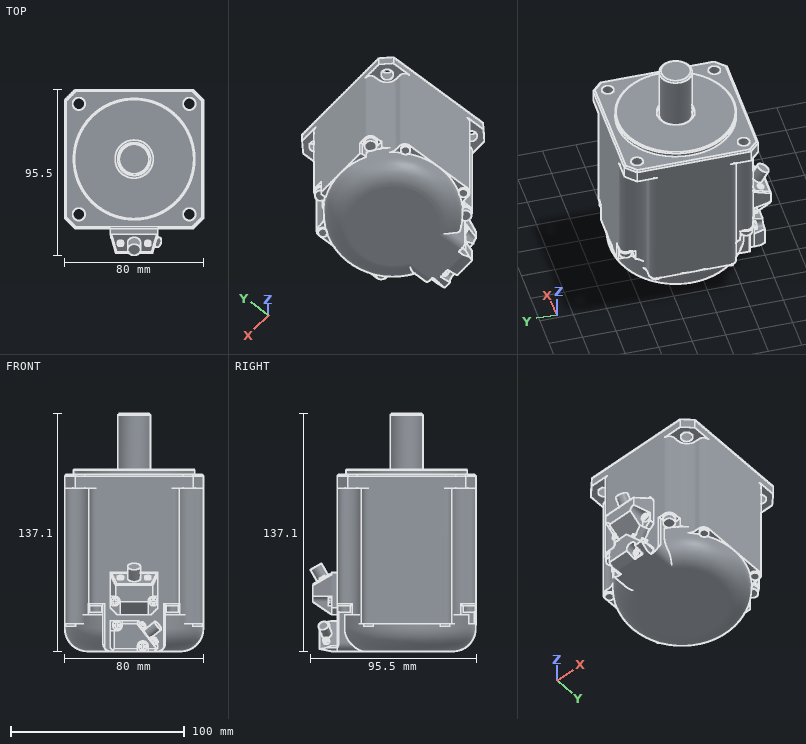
import cadquery as cq
import math

TOTAL_HEIGHT = 137.1
SHAFT_LENGTH = 32.0
PILOT_HEIGHT = 3.0
FLANGE_THICKNESS = 8.0
PILOT_TOP = TOTAL_HEIGHT - SHAFT_LENGTH
FLANGE_TOP = PILOT_TOP - PILOT_HEIGHT
FLANGE_BOTTOM = FLANGE_TOP - FLANGE_THICKNESS
COVER_TOP = 21.2
HOUSING_BOTTOM = 16.0

BODY_WIDTH = 80.0
HALF_WIDTH = BODY_WIDTH / 2
FLANGE_CORNER = 6.0
FLANGE_EDGE = 1.0
BOLT_CIRCLE = 90.0
BOLT_HOLE_DIA = 7.0
PILOT_DIA = 70.0
PILOT_EDGE = 0.7
SHAFT_DIA = 19.0
SHAFT_EDGE = 1.0
SEAL_RECESS_DIA = 22.0
SEAL_RECESS_DEPTH = 2.0

NOTCH_WALL = 26.0
NOTCH_ROUND = 4.0
NOTCH_INNER_RADIUS = 7.5
NOTCH_AXIS = NOTCH_WALL + NOTCH_INNER_RADIUS

COVER_ROUND = 13.3
PAD_HALF_WIDTH = 18.0
PAD_EDGE = 1.0
PAD_BOTTOM_ROUND = 5.0

SCREW_NEAR = 22.0
SCREW_FAR = HALF_WIDTH - NOTCH_ROUND
POCKET_FLOOR = 31.2
POCKET_TOP = 27.5
HEAD_DIA = 7.0
COLLAR_DIA = 7.6
HEAD_BOTTOM = 22.7
HEAD_TOP = 26.3
STUD_FAR = 36.5
STUD_DIA = 5.5
STUD_LENGTH = 1.5

CONNECTOR_HALF_WIDTH = 13.75
BASE_THICKNESS = 3.2
BASE_FRONT = -HALF_WIDTH - BASE_THICKNESS
OVERLAP = 1.0
FIXING_RECESS_RADIUS = 3.1
FIXING_HEAD_DIA = 4.8
FIXING_HEAD_HEIGHT = 2.0
GLAND_SCREW_DIA = 3.6
CROSS_WIDTH_RATIO = 0.2
CROSS_LENGTH_RATIO = 0.7

POWER_TOP = 45.6
POWER_BOTTOM = COVER_TOP
POWER_BASE_BEVEL = 4.0
POWER_FRONT = -54.1
POWER_FRONT_HALF_WIDTH = 10.6
POWER_SLOPE_TOP = 45.1
POWER_SLOPE_ANGLE = 30.0
POWER_LIP_BOTTOM = 28.6
POWER_SLOPE_EDGE = 0.7
POWER_FIXING_X = 11.2
POWER_FIXING_Z = 28.7
POWER_CABLE_DIA = 7.5
POWER_CABLE_LENGTH = 7.9
POWER_CABLE_REACH = 55.5
POWER_GLAND_SCREW_X = 7.9
POWER_GLAND_SCREW_HEIGHT = 0.9

ENCODER_TOP = 17.7
ENCODER_FRONT = -50.2
ENCODER_BEVEL = 2.2
ENCODER_SIDE_DRAFT = 2.3
ENCODER_BOTTOM_DRAFT = 1.5
ENCODER_TOP_DRAFT = 1.7
DIAGONAL_ANGLE = 38.0
DIAGONAL_TILT = 14.0
DIAGONAL_END_Z = 3.4
ENCODER_FIXINGS = ((-10.0, 15.1, -1, 1), (5.0, 3.0, 0, -1))
ENCODER_CABLE_DIA = 6.0
ENCODER_CABLE_LENGTH = 8.1
ENCODER_CABLE_Y = -46.0
ENCODER_GLAND_SCREW_OFFSET = 5.7
ENCODER_GLAND_SCREW_HEIGHT = 2.0


def box(x0, x1, y0, y1, z0, z1):
    return cq.Workplane("XY").box(x1 - x0, y1 - y0, z1 - z0, centered=False).translate((x0, y0, z0))


def cylinder(x, y, z0, z1, diameter):
    return cq.Workplane("XY", origin=(x, y, z0)).circle(diameter / 2).extrude(z1 - z0)


def rod(origin, direction, diameter, length):
    plane = cq.Plane(origin=origin, normal=direction)
    return cq.Workplane(plane).circle(diameter / 2).extrude(length)


def along(origin, direction, distance):
    return tuple(o + distance * d for o, d in zip(origin, direction))


def cross_head(origin, direction, diameter, height):
    """Round screw head standing on `origin`, with a cross-shaped driver recess."""
    sunk = along(origin, direction, -OVERLAP)
    head = rod(sunk, direction, diameter, height + OVERLAP)
    slot_plane = cq.Plane(origin=along(origin, direction, height / 2), normal=direction)
    slot_length = diameter * CROSS_LENGTH_RATIO
    slot_width = diameter * CROSS_WIDTH_RATIO
    for length, width in ((slot_length, slot_width), (slot_width, slot_length)):
        head = head.cut(cq.Workplane(slot_plane).rect(length, width).extrude(height))
    return head


def flange():
    plate = box(-HALF_WIDTH, HALF_WIDTH, -HALF_WIDTH, HALF_WIDTH, FLANGE_BOTTOM, FLANGE_TOP)
    plate = plate.edges("|Z").chamfer(FLANGE_CORNER).faces(">Z").edges().chamfer(FLANGE_EDGE)
    bolt_pitch = BOLT_CIRCLE / math.sqrt(2)
    plate = plate.faces(">Z").workplane().rect(bolt_pitch, bolt_pitch, forConstruction=True).vertices()
    plate = plate.hole(BOLT_HOLE_DIA)
    pilot = cylinder(0, 0, FLANGE_TOP, PILOT_TOP, PILOT_DIA).faces(">Z").chamfer(PILOT_EDGE)
    recess = cylinder(0, 0, PILOT_TOP - SEAL_RECESS_DEPTH, PILOT_TOP, SEAL_RECESS_DIA)
    shaft = cylinder(0, 0, FLANGE_TOP, TOTAL_HEIGHT, SHAFT_DIA).faces(">Z").chamfer(SHAFT_EDGE)
    return plate.union(pilot).cut(recess).union(shaft)


def housing():
    block = box(-HALF_WIDTH, HALF_WIDTH, -HALF_WIDTH, HALF_WIDTH, HOUSING_BOTTOM, FLANGE_BOTTOM)
    notch_size = HALF_WIDTH - NOTCH_WALL
    notch_center = NOTCH_WALL + notch_size / 2
    for sx in (-1, 1):
        for sy in (-1, 1):
            notch = cq.Workplane("XY", origin=(sx * notch_center, sy * notch_center, HOUSING_BOTTOM))
            notch = notch.rect(notch_size, notch_size).extrude(FLANGE_BOTTOM - HOUSING_BOTTOM)
            inner_edge = ("<X" if sx > 0 else ">X") + " and " + ("<Y" if sy > 0 else ">Y")
            notch = notch.edges("|Z").edges(inner_edge).fillet(NOTCH_INNER_RADIUS)
            block = block.cut(notch)
    for s in (-1, 1):
        for t in (-1, 1):
            for x, y in ((s * NOTCH_WALL, t * HALF_WIDTH), (s * HALF_WIDTH, t * NOTCH_WALL)):
                low = (x - 1, y - 1, HOUSING_BOTTOM)
                high = (x + 1, y + 1, FLANGE_BOTTOM)
                block = block.edges("|Z").edges(cq.selectors.BoxSelector(low, high)).fillet(NOTCH_ROUND)
    return block


def edge_pad(side, bottom):
    """Block with bevelled sides standing on the -Y (side = -1) or +Y (side = 1) face."""
    inner = side * HALF_WIDTH / 2
    outer = side * HALF_WIDTH
    pad = box(-PAD_HALF_WIDTH, PAD_HALF_WIDTH, min(inner, outer), max(inner, outer), bottom, POCKET_TOP)
    outer_face = "<Y" if side < 0 else ">Y"
    return pad.faces(outer_face).edges("|Z").chamfer(PAD_EDGE)


def rear_cover():
    return cylinder(0, 0, 0, COVER_TOP, BODY_WIDTH).faces("<Z").edges().fillet(COVER_ROUND)


def screw_pocket(side_x, side_y):
    """Square-cornered pocket around a housing screw, open outwards and into the corner notch."""
    inner = side_y * POCKET_FLOOR
    outer = side_y * (HALF_WIDTH + OVERLAP)
    near = side_x * (PAD_HALF_WIDTH - PAD_EDGE)
    far = side_x * NOTCH_AXIS
    return box(min(near, far), max(near, far), min(inner, outer), max(inner, outer), COVER_TOP, POCKET_TOP)


def body():
    """Housing and rear cover with the pockets, screws and pads at their joint."""
    case = housing()
    crossing_sum = (HALF_WIDTH**2 + 2 * NOTCH_AXIS**2 - NOTCH_INNER_RADIUS**2) / (2 * NOTCH_AXIS)
    crossing_y = (crossing_sum - math.sqrt(2 * HALF_WIDTH**2 - crossing_sum**2)) / 2
    for side in (-1, 1):
        inner = side * crossing_y
        outer = side * (HALF_WIDTH + OVERLAP)
        case = case.cut(box(-HALF_WIDTH, HALF_WIDTH, min(inner, outer), max(inner, outer),
                            HOUSING_BOTTOM, COVER_TOP))
    case = case.union(rear_cover())
    for side_x in (-1, 1):
        for side_y in (-1, 1):
            case = case.cut(screw_pocket(side_x, side_y))
            head = cylinder(side_x * SCREW_NEAR, side_y * SCREW_FAR, HEAD_BOTTOM, HEAD_TOP, HEAD_DIA)
            collar = cylinder(side_x * SCREW_NEAR, side_y * SCREW_FAR, HEAD_TOP, POCKET_TOP + OVERLAP,
                              COLLAR_DIA)
            head = head.union(collar)
            stud = cylinder(side_x * STUD_FAR, side_y * SCREW_NEAR, HOUSING_BOTTOM - STUD_LENGTH, COVER_TOP,
                            STUD_DIA)
            case = case.union(head).union(stud)
    connector_pad = edge_pad(-1, 0).edges("|Y and <Z").fillet(PAD_BOTTOM_ROUND)
    return case.union(connector_pad).union(edge_pad(1, HOUSING_BOTTOM))


def prism_along_y(points, y_back, y_front):
    """Extrude an (x, z) outline from y_back towards -Y up to y_front."""
    return cq.Workplane("XZ", origin=(0, y_back, 0)).polyline(points).close().extrude(y_back - y_front)


def prism_along_x(points, half_width):
    """Extrude a (y, z) outline symmetrically about X = 0."""
    return cq.Workplane("YZ").polyline(points).close().extrude(half_width, both=True)


def fixing_recess(x, z, side_x, side_z, front):
    """Round-ended recess in front of a connector base, open towards side_x and side_z."""
    radius = FIXING_RECESS_RADIUS
    reach = 2 * CONNECTOR_HALF_WIDTH
    center = cq.Workplane("XZ", origin=(0, BASE_FRONT, 0)).center(x, z)
    depth = BASE_FRONT - front + OVERLAP
    recess = center.circle(radius).extrude(depth)
    if side_z:
        recess = recess.union(center.center(0, side_z * reach / 2).rect(2 * radius, reach).extrude(depth))
    if side_x:
        recess = recess.union(center.center(side_x * reach / 2, 0).rect(reach, 2 * radius).extrude(depth))
    if side_x and side_z:
        corner = center.center(side_x * reach / 2, side_z * reach / 2)
        recess = recess.union(corner.rect(reach, reach).extrude(depth))
    return recess


def fixing_screw(x, z):
    return cross_head((x, BASE_FRONT, z), (0, -1, 0), FIXING_HEAD_DIA, FIXING_HEAD_HEIGHT)


def power_connector():
    half = CONNECTOR_HALF_WIDTH
    back = -HALF_WIDTH + OVERLAP
    angle = math.radians(POWER_SLOPE_ANGLE)
    slope_end = POWER_SLOPE_TOP - (BASE_FRONT - POWER_FRONT) * math.tan(angle)

    base = prism_along_y([(-half, POWER_TOP), (half, POWER_TOP), (half, POWER_BOTTOM + POWER_BASE_BEVEL),
                          (half - POWER_BASE_BEVEL, POWER_BOTTOM), (POWER_BASE_BEVEL - half, POWER_BOTTOM),
                          (-half, POWER_BOTTOM + POWER_BASE_BEVEL)], back, BASE_FRONT)

    hood = prism_along_x([(back, POWER_SLOPE_TOP), (BASE_FRONT, POWER_SLOPE_TOP), (POWER_FRONT, slope_end),
                          (POWER_FRONT, POWER_LIP_BOTTOM), (BASE_FRONT, POWER_BOTTOM), (back, POWER_BOTTOM)],
                         half)
    plan = cq.Workplane("XY").polyline([(-half, BASE_FRONT), (half, BASE_FRONT),
                                        (POWER_FRONT_HALF_WIDTH, POWER_FRONT),
                                        (-POWER_FRONT_HALF_WIDTH, POWER_FRONT)]).close().extrude(POWER_TOP)
    hood = hood.intersect(plan)
    slope_normal = (0, -math.sin(angle), math.cos(angle))
    slope_face = cq.selectors.DirectionMinMaxSelector(cq.Vector(*slope_normal))
    hood = hood.faces(slope_face).edges().edges("not >Z").chamfer(POWER_SLOPE_EDGE)
    for side in (-1, 1):
        hood = hood.cut(fixing_recess(side * POWER_FIXING_X, POWER_FIXING_Z, side, -1, POWER_FRONT))

    connector = base.union(hood)
    for side in (-1, 1):
        connector = connector.union(fixing_screw(side * POWER_FIXING_X, POWER_FIXING_Z))

    cable_end_y = POWER_CABLE_DIA / 2 * math.cos(angle) - POWER_CABLE_REACH
    root_y = cable_end_y + POWER_CABLE_LENGTH * math.sin(angle)
    root_z = POWER_SLOPE_TOP - (BASE_FRONT - root_y) * math.tan(angle)
    cable_start = along((0, root_y, root_z), slope_normal, -OVERLAP)
    connector = connector.union(rod(cable_start, slope_normal, POWER_CABLE_DIA, POWER_CABLE_LENGTH + OVERLAP))
    for side in (-1, 1):
        connector = connector.union(cross_head((side * POWER_GLAND_SCREW_X, root_y, root_z), slope_normal,
                                               GLAND_SCREW_DIA, POWER_GLAND_SCREW_HEIGHT))
    return connector


def encoder_connector():
    half = CONNECTOR_HALF_WIDTH
    angle = math.radians(DIAGONAL_ANGLE)
    tilt = math.radians(DIAGONAL_TILT)
    diagonal_start_x = half - (ENCODER_TOP - DIAGONAL_END_Z) * math.tan(angle)
    outline = [(-half, ENCODER_TOP), (diagonal_start_x, ENCODER_TOP), (half, DIAGONAL_END_Z),
               (half, ENCODER_BEVEL), (half - ENCODER_BEVEL, 0), (ENCODER_BEVEL - half, 0),
               (-half, ENCODER_BEVEL)]
    base = prism_along_y(outline, -HALF_WIDTH + OVERLAP, BASE_FRONT)

    hood = prism_along_y(outline, BASE_FRONT, ENCODER_FRONT)
    left_draft = cq.Workplane("XY").polyline([(-half, BASE_FRONT), (-half, ENCODER_FRONT),
                                              (ENCODER_SIDE_DRAFT - half, ENCODER_FRONT)]).close()
    bottom_draft = [(BASE_FRONT, 0), (ENCODER_FRONT, 0), (ENCODER_FRONT, ENCODER_BOTTOM_DRAFT)]
    top_draft = [(BASE_FRONT, ENCODER_TOP), (ENCODER_FRONT, ENCODER_TOP),
                 (ENCODER_FRONT, ENCODER_TOP - ENCODER_TOP_DRAFT)]
    hood = hood.cut(left_draft.extrude(ENCODER_TOP))
    hood = hood.cut(prism_along_x(bottom_draft, half)).cut(prism_along_x(top_draft, half))

    outward = (math.cos(angle) * math.cos(tilt), -math.sin(tilt), math.sin(angle) * math.cos(tilt))
    across = (math.sin(angle), 0, -math.cos(angle))
    face_middle = ((diagonal_start_x + half) / 2, BASE_FRONT, (ENCODER_TOP + DIAGONAL_END_Z) / 2)
    cable_face = cq.Plane(origin=face_middle, xDir=across, normal=outward)
    hood = hood.cut(cq.Workplane(cable_face).rect(BODY_WIDTH, BODY_WIDTH).extrude(half))
    for x, z, side_x, side_z in ENCODER_FIXINGS:
        hood = hood.cut(fixing_recess(x, z, side_x, side_z, ENCODER_FRONT))

    connector = base.union(hood)
    for x, z, side_x, side_z in ENCODER_FIXINGS:
        connector = connector.union(fixing_screw(x, z))
    up_face = cable_face.yDir.toTuple()
    cable_root = along(face_middle, up_face, (ENCODER_CABLE_Y - BASE_FRONT) / up_face[1])
    cable_start = along(cable_root, outward, -OVERLAP)
    connector = connector.union(rod(cable_start, outward, ENCODER_CABLE_DIA, ENCODER_CABLE_LENGTH + OVERLAP))
    for offset in (-ENCODER_GLAND_SCREW_OFFSET, ENCODER_GLAND_SCREW_OFFSET):
        connector = connector.union(cross_head(along(cable_root, across, offset), outward,
                                               GLAND_SCREW_DIA, ENCODER_GLAND_SCREW_HEIGHT))
    return connector


result = flange().union(body()).union(power_connector()).union(encoder_connector())